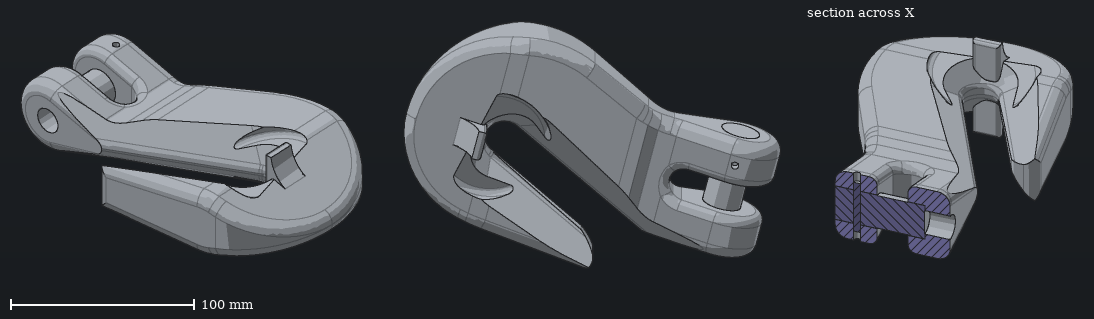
import cadquery as cq
import math


CLEVIS_HALF_WIDTH = 34.0
CLEVIS_BOTTOM_END_X = 70.0
EAR_RADIUS = 22.0
EAR_CENTER_X = -2.2
EAR_FRONT_X = EAR_CENTER_X - EAR_RADIUS
CLEVIS_SLOT_WIDTH = 18.0
CLEVIS_SLOT_END_X = 31.5
SLOT_EDGE_RADIUS = 5.0

PIN_DIAMETER = 21.4
DRIVE_HOLE_DIAMETER = 15.0
DRIVE_HOLE_DEPTH = 15.0
PIN_END_Y = -CLEVIS_HALF_WIDTH + DRIVE_HOLE_DEPTH
LOCK_PIN_DIAMETER = 4.0
LOCK_PIN_LENGTH = 32.0
LOCK_PIN_Y = 21.0

SHANK_ANGLE = 27.5
ARM_ANGLE = 9.0
NECK_RADIUS = 34.0
CROWN_RADIUS = 63.0
CROWN_CENTER = (116.7, 0.0)
HOOK_END_X = CROWN_CENTER[0] + CROWN_RADIUS
HEEL_RADIUS = 49.5
HEEL_CENTER = (HOOK_END_X - HEEL_RADIUS, 0.0)
ARM_ROUGH_LENGTH = 82.0
ARM_ROUGH_WIDTH = 12.0
TIP_LOW_X = 67.2
TIP_NOSE_RADIUS = 5.3
TIP_NOSE_START_ANGLE = 150.0
TIP_NOSE_MIDDLE_ANGLE = 215.0
TIP_BEND_DISTANCE = 56.5
TIP_CLEARANCE = 8.0
RIM_RADIUS = 7.6

TAPER_ANGLE = 15.5
WAIST = (39.6, 11.2)
WAIST_RADIUS = 20.0
SHOULDER = (54.6, 15.2)
SHOULDER_RADIUS = 38.0
PEAK = (129.5, 20.6)
PEAK_RADIUS = 28.0
HOOK_END_HALF_HEIGHT = 5.7
CUT_HALF_HEIGHT = 26.0

THROAT_CENTER = (124.8, -1.0)
THROAT_RADIUS = 10.0
THROAT_REACH = 155.0
THROAT_EDGE_HALF_HEIGHT = 3.5
THROAT_EDGE_RADIUS = 6.0
FLARE_SLOPE = 0.84
FLARE_END_EXTRA = 11.0

SEAT_RADIUS = 31.2
SEAT_CENTER = (130.0, -1.0)
SEAT_FLOOR_ANGLE = 13.5
SEAT_FLOOR_END = (143.4, 0.0, 17.3)
SEAT_FLOOR_RADIUS = 3.0

FIN_TOP_Z = 30.0
FIN_ROOT_Z = 5.0
FIN_FACE_X = 136.3
FIN_TOP_THICKNESS = 4.8
FIN_FLARE_MIDDLE = (144.3, 20.8)
FIN_FLARE_END = (158.0, 11.8)
FIN_Y_MIN = -7.4
FIN_Y_MAX = 8.8
FIN_EDGE_RADIUS = 1.8


def along(point, angle, distance):
    """Point a distance away in the direction of an angle."""
    turn = math.radians(angle)
    return (point[0] + distance * math.cos(turn), point[1] + distance * math.sin(turn))


def bend(before, corner, after, radius):
    """Start, middle and end of the arc that rounds a corner."""
    angle_in = math.atan2(before[1] - corner[1], before[0] - corner[0])
    angle_out = math.atan2(after[1] - corner[1], after[0] - corner[0])
    opening = (angle_out - angle_in + math.pi) % (2 * math.pi) - math.pi
    half = abs(opening) / 2
    bisector = math.degrees(angle_in + opening / 2)
    trim = radius / math.tan(half)
    start = along(corner, math.degrees(angle_in), trim)
    middle = along(corner, bisector, radius / math.sin(half) - radius)
    end = along(corner, math.degrees(angle_out), trim)
    return start, middle, end


def edge_at(body, point):
    """The edge of a body nearest to a point."""
    target = cq.Vertex.makeVertex(*point)
    return min(body.edges().vals(), key=lambda edge: edge.distance(target))


def round_edges(body, radius, points):
    """Body with the edges nearest to the points rounded."""
    edges = [edge_at(body, point) for point in points]
    return cq.Workplane(body.val().fillet(radius, edges))


HEEL_END = along(HEEL_CENTER, ARM_ANGLE - 90, HEEL_RADIUS)
ARM_EDGE = along(THROAT_CENTER, SHANK_ANGLE - 90, THROAT_RADIUS)


def hook_outline():
    """Outline in XY, still closed across the throat and with the arm left long."""
    top_left = (EAR_FRONT_X, CLEVIS_HALF_WIDTH)
    bottom_left = (EAR_FRONT_X, -CLEVIS_HALF_WIDTH)
    crown_start = along(CROWN_CENTER, SHANK_ANGLE + 90, CROWN_RADIUS)
    shank_rise = crown_start[1] - CLEVIS_HALF_WIDTH
    neck_x = crown_start[0] - shank_rise / math.tan(math.radians(SHANK_ANGLE))
    neck_start, neck_middle, neck_end = bend(
        top_left, (neck_x, CLEVIS_HALF_WIDTH), crown_start, NECK_RADIUS
    )
    arm_end = along(HEEL_END, ARM_ANGLE + 180, ARM_ROUGH_LENGTH)
    return (
        cq.Workplane("XY", origin=(0, 0, -CUT_HALF_HEIGHT))
        .moveTo(*top_left)
        .lineTo(*neck_start)
        .threePointArc(neck_middle, neck_end)
        .lineTo(*crown_start)
        .threePointArc(along(CROWN_CENTER, 45, CROWN_RADIUS), (HOOK_END_X, 0))
        .threePointArc(along(HEEL_CENTER, -45, HEEL_RADIUS), HEEL_END)
        .lineTo(*arm_end)
        .lineTo(*along(arm_end, ARM_ANGLE + 90, ARM_ROUGH_WIDTH))
        .lineTo(*ARM_EDGE)
        .lineTo(CLEVIS_BOTTOM_END_X, -CLEVIS_HALF_WIDTH)
        .lineTo(*bottom_left)
        .close()
    )


def thickness_profile():
    """Thickness in XZ, from the round ears over the waist and peak to the thin end."""
    taper_start = along((EAR_CENTER_X, 0), 90 - TAPER_ANGLE, EAR_RADIUS)
    end = (HOOK_END_X, HOOK_END_HALF_HEIGHT)
    bends = [
        bend(taper_start, WAIST, SHOULDER, WAIST_RADIUS),
        bend(WAIST, SHOULDER, PEAK, SHOULDER_RADIUS),
        bend(SHOULDER, PEAK, end, PEAK_RADIUS),
    ]
    wire = cq.Workplane("XZ").moveTo(*taper_start)
    for start, middle, finish in bends:
        wire = wire.lineTo(*start).threePointArc(middle, finish)
    wire = wire.lineTo(*end).lineTo(end[0], -end[1])
    for start, middle, finish in reversed(bends):
        wire = wire.lineTo(finish[0], -finish[1])
        wire = wire.threePointArc((middle[0], -middle[1]), (start[0], -start[1]))
    wire = wire.lineTo(taper_start[0], -taper_start[1])
    return wire.threePointArc((EAR_FRONT_X, 0), taper_start).close()


def hook_blank():
    """Outline and thickness combined, with the outer rim rounded."""
    plan = hook_outline().extrude(2 * CUT_HALF_HEIGHT)
    side = thickness_profile().extrude(2 * CROWN_RADIUS, both=True)
    ear_fronts = [(EAR_FRONT_X, y, 0) for y in (CLEVIS_HALF_WIDTH, -CLEVIS_HALF_WIDTH)]
    return round_edges(plan.intersect(side), RIM_RADIUS, ear_fronts)


def u_outline(half_width, left, end, z):
    """U-shaped outline along X at one height, with its round end on the right."""
    return (
        cq.Workplane("XY", origin=(0, 0, z))
        .moveTo(left, -half_width)
        .lineTo(end - half_width, -half_width)
        .threePointArc((end, 0), (end - half_width, half_width))
        .lineTo(left, half_width)
        .close()
    )


def cut_clevis_slot(body):
    """Slot between the ears, with its edges rounded."""
    half_width = CLEVIS_SLOT_WIDTH / 2
    outline = u_outline(half_width, 2 * EAR_FRONT_X, CLEVIS_SLOT_END_X, -CUT_HALF_HEIGHT)
    body = body.cut(outline.extrude(2 * CUT_HALF_HEIGHT))
    taper_x = CLEVIS_SLOT_END_X / 3
    slot_edges = [
        (taper_x, y, z) for y in (half_width, -half_width) for z in (EAR_RADIUS, -EAR_RADIUS)
    ]
    return round_edges(body, SLOT_EDGE_RADIUS, slot_edges)


def throat_tool():
    """The throat: a straight slot in the middle that flares above and below."""
    edge_z = THROAT_EDGE_HALF_HEIGHT
    left = -THROAT_REACH
    wide_half_width = THROAT_RADIUS + (CUT_HALF_HEIGHT - edge_z) / FLARE_SLOPE
    wide_end = THROAT_RADIUS + FLARE_END_EXTRA
    slot = u_outline(THROAT_RADIUS, left, THROAT_RADIUS, -edge_z).extrude(2 * edge_z)
    narrow = u_outline(THROAT_RADIUS, left, THROAT_RADIUS, edge_z).wires().val()
    wide = u_outline(wide_half_width, left, wide_end, CUT_HALF_HEIGHT).wires().val()
    flare = cq.Workplane(cq.Solid.makeLoft([narrow, wide], True))
    tool = slot.union(flare).union(flare.mirror("XY"))
    throat_edges = [
        (left / 2, y, z) for y in (THROAT_RADIUS, -THROAT_RADIUS) for z in (edge_z, -edge_z)
    ]
    tool = round_edges(tool, THROAT_EDGE_RADIUS, throat_edges)
    return tool.rotate((0, 0, 0), (0, 0, 1), SHANK_ANGLE).translate((*THROAT_CENTER, 0))


def tip_tool():
    """Removes the long end of the arm, leaving a bent tip with a round nose."""
    arm_run = (HEEL_END[0] - TIP_LOW_X) / math.cos(math.radians(ARM_ANGLE))
    nose_end = along(HEEL_END, ARM_ANGLE + 180, arm_run)
    nose_center = along(nose_end, ARM_ANGLE + 90, TIP_NOSE_RADIUS)
    nose_start = along(nose_center, TIP_NOSE_START_ANGLE, TIP_NOSE_RADIUS)
    nose_middle = along(nose_center, TIP_NOSE_MIDDLE_ANGLE, TIP_NOSE_RADIUS)
    bend_end = along(ARM_EDGE, SHANK_ANGLE + 180, TIP_BEND_DISTANCE)
    left = nose_start[0] - TIP_CLEARANCE
    bottom = nose_end[1] - TIP_CLEARANCE
    return (
        cq.Workplane("XY", origin=(0, 0, -CUT_HALF_HEIGHT))
        .moveTo(nose_end[0], bottom)
        .lineTo(*nose_end)
        .threePointArc(nose_middle, nose_start)
        .tangentArcPoint(bend_end, relative=False)
        .lineTo(left, bend_end[1])
        .lineTo(left, bottom)
        .close()
        .extrude(2 * CUT_HALF_HEIGHT)
    )


def seat_tool():
    """Round link seat above the throat, its floor rising towards the throat's closed end."""
    height = 2 * SEAT_RADIUS
    above_floor = (
        cq.Workplane("XY")
        .box(2 * height, 2 * height, height, centered=(True, True, False))
        .rotate((0, 0, 0), (0, 1, 0), -SEAT_FLOOR_ANGLE)
        .rotate((0, 0, 0), (0, 0, 1), SHANK_ANGLE)
        .translate(SEAT_FLOOR_END)
    )
    seat = cq.Workplane("XY").center(*SEAT_CENTER).circle(SEAT_RADIUS).extrude(height)
    seat = seat.intersect(above_floor)
    return seat.faces("<Z").edges().fillet(SEAT_FLOOR_RADIUS)


def stop_fin():
    """Fin that stands behind the throat and flares down into the hook."""
    return (
        cq.Workplane("XZ", origin=(0, FIN_Y_MAX, 0))
        .moveTo(FIN_FACE_X, FIN_ROOT_Z)
        .lineTo(FIN_FACE_X, FIN_TOP_Z)
        .lineTo(FIN_FACE_X + FIN_TOP_THICKNESS, FIN_TOP_Z)
        .threePointArc(FIN_FLARE_MIDDLE, FIN_FLARE_END)
        .lineTo(FIN_FLARE_END[0], FIN_ROOT_Z)
        .close()
        .extrude(FIN_Y_MAX - FIN_Y_MIN)
        .faces("<X")
        .edges()
        .fillet(FIN_EDGE_RADIUS)
    )


def make_hook():
    """The hook with its clevis, throat, link seats, fins and pin holes."""
    hook = cut_clevis_slot(hook_blank())
    hook = hook.cut(throat_tool()).cut(tip_tool())
    seat = seat_tool()
    fin = stop_fin()
    hook = hook.cut(seat).cut(seat.mirror("XY"))
    hook = hook.union(fin).union(fin.mirror("XY"))
    hook = hook.cut(y_cylinder(PIN_DIAMETER, PIN_END_Y, CLEVIS_HALF_WIDTH))
    hook = hook.cut(y_cylinder(DRIVE_HOLE_DIAMETER, -CLEVIS_HALF_WIDTH, PIN_END_Y))
    return hook.cut(lock_cylinder(2 * CUT_HALF_HEIGHT))


def y_cylinder(diameter, y_from, y_to):
    """Cylinder on the clevis pin axis between two values of Y."""
    return cq.Workplane("XZ", origin=(0, y_to, 0)).circle(diameter / 2).extrude(y_to - y_from)


def lock_cylinder(length):
    """Cylinder on the lock pin axis, which crosses the +Y ear and the clevis pin."""
    base = cq.Workplane("XY", origin=(0, LOCK_PIN_Y, -length / 2))
    return base.circle(LOCK_PIN_DIAMETER / 2).extrude(length)


def make_clevis_pin():
    """Clevis pin, put in from the +Y ear and drilled for the lock pin."""
    pin = y_cylinder(PIN_DIAMETER, PIN_END_Y, CLEVIS_HALF_WIDTH)
    return pin.cut(lock_cylinder(2 * CUT_HALF_HEIGHT))


def make_lock_pin():
    """Lock pin, sunk below the surface of the ear at both ends."""
    return lock_cylinder(LOCK_PIN_LENGTH)


hook = make_hook()
clevis_pin = make_clevis_pin()
lock_pin = make_lock_pin()

result = cq.Compound.makeCompound([hook.val(), clevis_pin.val(), lock_pin.val()])